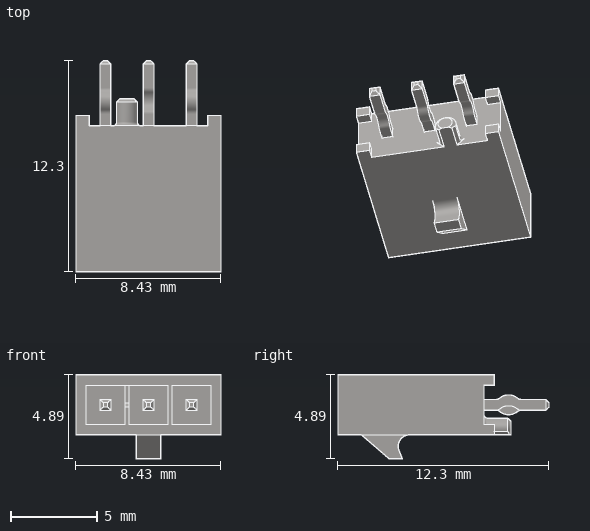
import cadquery as cq
import math


PIN_COUNT = 3
PIN_PITCH = 2.5
OVERALL_LENGTH = 12.26

HOUSING_WIDTH = 8.43
HOUSING_HEIGHT = 3.5
REAR_WALL_Y = 8.48
MID_HEIGHT = HOUSING_HEIGHT / 2

TAB_LENGTH = 0.6
TAB_WIDTH = 0.78
TAB_HEIGHT = 0.61

CELL_SIZE = 2.27
CELL_DEPTH = 6.13

NOTCH_DEPTH = 2.45
NOTCHED_WALL_HEIGHT = 1.84
NOTCHED_WALL_CHAMFER = 0.21

PEG_DIAMETER = 1.23
PEG_LENGTH = 1.57
PEG_TOP = 0.98
PEG_CHAMFER = 0.2
PEG_ROOT_FILLET = 0.2
PEG_SLOPE_HEIGHT = 0.21

LATCH_WIDTH = 1.45
LATCH_DEPTH = 1.39
LATCH_RAMP_START_Y = 1.36
LATCH_TIP_START_Y = 2.97
LATCH_CATCH_Y = 3.51
LATCH_RADIUS = 0.66
LATCH_CATCH_ANGLE = math.radians(22)

PIN_SIZE = 0.64
PIN_FRONT_Y = 1.47
PIN_TIP_CHAMFER = 0.2
BEND_Y = 9.9
BEND_HALF_LENGTH = 0.75
BEND_ARC_HALF_LENGTH = 0.5
BEND_ANGLE = math.radians(39)


def pin_x(index):
    """X position of a pin and of the cell around it."""
    return (index - (PIN_COUNT - 1) / 2) * PIN_PITCH


def block(x_min, x_max, y_min, y_max, z_min, z_max):
    """Box between the given limits."""
    return cq.Workplane("XY").box(
        x_max - x_min, y_max - y_min, z_max - z_min, centered=False
    ).translate((x_min, y_min, z_min))


def make_shell():
    """Outer block with a tab at each rear corner."""
    half_width = HOUSING_WIDTH / 2
    shell = block(-half_width, half_width, 0, REAR_WALL_Y, 0, HOUSING_HEIGHT)
    for x_min in (-half_width, half_width - TAB_WIDTH):
        for z_min in (0, HOUSING_HEIGHT - TAB_HEIGHT):
            tab = block(
                x_min, x_min + TAB_WIDTH,
                REAR_WALL_Y, REAR_WALL_Y + TAB_LENGTH,
                z_min, z_min + TAB_HEIGHT,
            )
            shell = shell.union(tab)
    return shell


def make_cell(x):
    """Square cell around one pin."""
    half_size = CELL_SIZE / 2
    return block(
        x - half_size, x + half_size, 0, CELL_DEPTH,
        MID_HEIGHT - half_size, MID_HEIGHT + half_size,
    )


def make_wall_notch():
    """Space above the lowered wall between the first two cells, with its chamfer."""
    chamfer_foot = NOTCHED_WALL_HEIGHT - NOTCHED_WALL_CHAMFER
    ceiling = MID_HEIGHT + CELL_SIZE / 2
    left_side = pin_x(0) + CELL_SIZE / 2
    wall_thickness = PIN_PITCH - CELL_SIZE
    return (
        cq.Workplane("YZ", origin=(left_side, 0, 0))
        .moveTo(0, chamfer_foot)
        .lineTo(NOTCHED_WALL_CHAMFER, NOTCHED_WALL_HEIGHT)
        .lineTo(NOTCH_DEPTH, NOTCHED_WALL_HEIGHT)
        .lineTo(NOTCH_DEPTH, ceiling)
        .lineTo(0, ceiling)
        .close()
        .extrude(wall_thickness)
    )


def make_peg():
    """Round peg with a flared root, cut flat underneath with sloping lower sides."""
    x = (pin_x(0) + pin_x(1)) / 2
    radius = PEG_DIAMETER / 2
    axis_z = PEG_TOP - radius
    root_radius = radius + PEG_ROOT_FILLET
    fillet_offset = PEG_ROOT_FILLET * (1 - math.sqrt(0.5))
    peg = (
        cq.Workplane("XY")
        .lineTo(root_radius, 0)
        .threePointArc((radius + fillet_offset, fillet_offset), (radius, PEG_ROOT_FILLET))
        .lineTo(radius, PEG_LENGTH - PEG_CHAMFER)
        .lineTo(radius - PEG_CHAMFER, PEG_LENGTH)
        .lineTo(0, PEG_LENGTH)
        .close()
        .revolve(360, (0, 0), (0, 1))
        .translate((x, REAR_WALL_Y, axis_z))
    )
    side_x = math.sqrt(radius**2 - (axis_z - PEG_SLOPE_HEIGHT) ** 2)
    foot_x = side_x - PEG_SLOPE_HEIGHT
    flare = root_radius - side_x
    envelope = (
        cq.Workplane("XZ", origin=(x, REAR_WALL_Y, 0))
        .polyline([
            (-foot_x, 0),
            (foot_x, 0),
            (side_x + flare, PEG_SLOPE_HEIGHT + flare),
            (side_x + flare, PEG_TOP + PEG_ROOT_FILLET),
            (-side_x - flare, PEG_TOP + PEG_ROOT_FILLET),
            (-side_x - flare, PEG_SLOPE_HEIGHT + flare),
        ])
        .close()
        .extrude(-PEG_LENGTH)
    )
    return peg.intersect(envelope)


def make_latch():
    """Hook with a sloping front and a round undercut behind."""
    arc_y = LATCH_CATCH_Y + LATCH_RADIUS

    def arc_point(angle):
        return (
            arc_y - LATCH_RADIUS * math.cos(angle),
            -LATCH_RADIUS - LATCH_RADIUS * math.sin(angle),
        )

    arc_end = arc_point(LATCH_CATCH_ANGLE)
    tip_end_y = arc_end[0] + (LATCH_DEPTH + arc_end[1]) * math.tan(LATCH_CATCH_ANGLE)
    return (
        cq.Workplane("YZ")
        .moveTo(LATCH_RAMP_START_Y, 0)
        .lineTo(LATCH_TIP_START_Y, -LATCH_DEPTH)
        .lineTo(tip_end_y, -LATCH_DEPTH)
        .lineTo(*arc_end)
        .threePointArc(arc_point(0), (arc_y, 0))
        .close()
        .extrude(LATCH_WIDTH / 2, both=True)
    )


def make_pin_hole(x):
    """Square hole through the wall behind a cell, fitting its pin."""
    half_size = PIN_SIZE / 2
    return block(
        x - half_size, x + half_size, CELL_DEPTH, REAR_WALL_Y,
        MID_HEIGHT - half_size, MID_HEIGHT + half_size,
    )


def make_housing():
    """Housing with its cells, peg and latch, in one piece."""
    housing = make_shell().union(make_peg()).union(make_latch())
    for index in range(PIN_COUNT):
        x = pin_x(index)
        housing = housing.cut(make_cell(x)).cut(make_pin_hole(x))
    return housing.cut(make_wall_notch())


def make_pin(x, bend_direction):
    """Square pin with tapered tips and a hump, raised (1) or lowered (-1), behind the housing."""
    fillet_length = BEND_HALF_LENGTH - BEND_ARC_HALF_LENGTH
    fillet_radius = fillet_length / math.sin(BEND_ANGLE)
    fillet_rise = fillet_radius * (1 - math.cos(BEND_ANGLE))
    fillet_mid_length = fillet_radius * math.sin(BEND_ANGLE / 2)
    fillet_mid_rise = fillet_radius * (1 - math.cos(BEND_ANGLE / 2))
    hump_rise = fillet_rise + BEND_ARC_HALF_LENGTH * math.tan(BEND_ANGLE / 2)

    def add_hump(outline, z, y_direction):
        """Fillet, crown arc and fillet, tangent to each other, along one side of the pin."""

        def point(distance, rise):
            return (BEND_Y + y_direction * distance, z + bend_direction * rise)

        fillet_mid_distance = BEND_HALF_LENGTH - fillet_mid_length
        return (
            outline
            .lineTo(*point(-BEND_HALF_LENGTH, 0))
            .threePointArc(
                point(-fillet_mid_distance, fillet_mid_rise),
                point(-BEND_ARC_HALF_LENGTH, fillet_rise),
            )
            .threePointArc(point(0, hump_rise), point(BEND_ARC_HALF_LENGTH, fillet_rise))
            .threePointArc(
                point(fillet_mid_distance, fillet_mid_rise),
                point(BEND_HALF_LENGTH, 0),
            )
        )

    bottom = MID_HEIGHT - PIN_SIZE / 2
    top = MID_HEIGHT + PIN_SIZE / 2
    outline = cq.Workplane("YZ", origin=(x - PIN_SIZE / 2, 0, 0)).moveTo(PIN_FRONT_Y, bottom)
    outline = add_hump(outline, bottom, 1)
    outline = outline.lineTo(OVERALL_LENGTH, bottom).lineTo(OVERALL_LENGTH, top)
    outline = add_hump(outline, top, -1)
    return (
        outline.lineTo(PIN_FRONT_Y, top)
        .close()
        .extrude(PIN_SIZE)
        .faces("<Y or >Y")
        .edges()
        .chamfer(PIN_TIP_CHAMFER)
    )


housing = make_housing()

pins = [make_pin(pin_x(index), (-1) ** index) for index in range(PIN_COUNT)]

result = cq.Compound.makeCompound([housing.val(), *[pin.val() for pin in pins]])